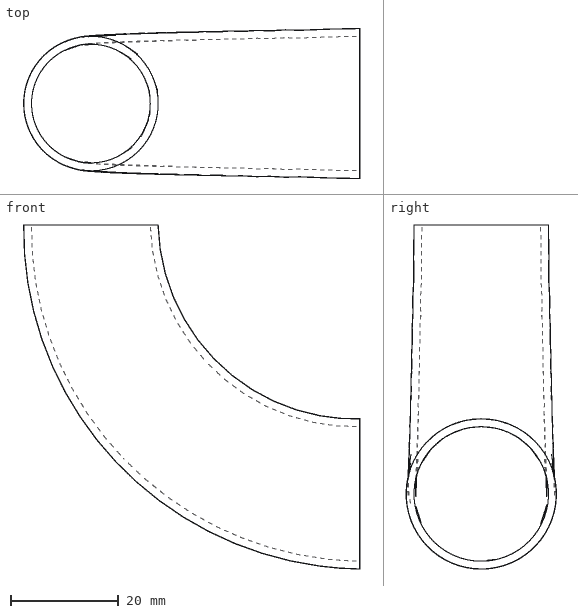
import cadquery as cq

overall_height = 64
small_diameter = 25.0
large_diameter = 27.95
wall = 1.5
bend_radius = overall_height - large_diameter / 2


def tapered_bend(top_diameter, side_diameter):
    """Solid quarter bend from the upward-facing end to the end facing +X."""
    path = cq.Workplane("XZ").radiusArc((bend_radius, -bend_radius), -bend_radius)
    return (
        cq.Workplane("XY")
        .circle(top_diameter / 2)
        .workplane(offset=-bend_radius)
        .transformed(offset=(bend_radius, 0, 0), rotate=(0, 90, 0))
        .circle(side_diameter / 2)
        .sweep(path, multisection=True)
    )


outer = tapered_bend(small_diameter, large_diameter)
bore = tapered_bend(small_diameter - 2 * wall, large_diameter - 2 * wall)
result = outer.cut(bore)